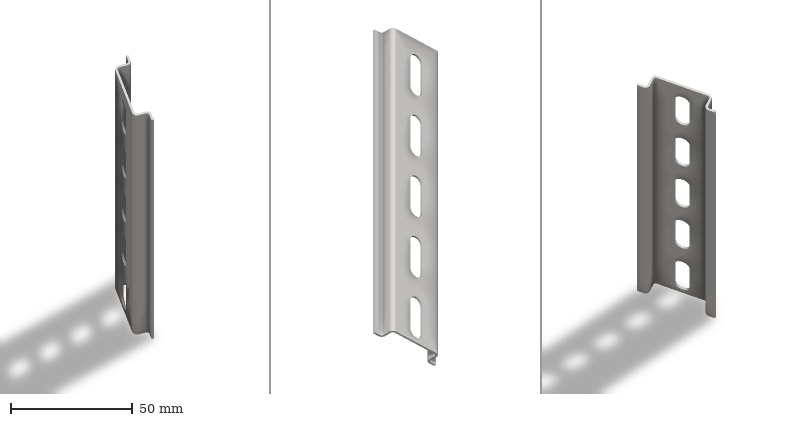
import cadquery as cq

length = 150.0
width = 35.0
depth = 7.5
thickness = 1.0

channel_width = 27.0
inner_radius = 1.0
outer_radius = inner_radius + thickness

slot_count = 5
slot_pitch = 30.0
slot_length = 20.0
slot_width = 6.8
lowest_slot_z = 12.5

half_width = width / 2
half_channel = channel_width / 2
half_inside = half_channel - thickness
front_y = -depth / 2
back_y = depth / 2


def make_rail():
    """Extrude the sharp-cornered hat section, then round its bends."""
    right_side = [
        (half_channel, front_y),
        (half_channel, back_y - thickness),
        (half_width, back_y - thickness),
        (half_width, back_y),
        (half_inside, back_y),
        (half_inside, front_y + thickness),
    ]
    left_side = [(-x, y) for x, y in reversed(right_side)]
    rail = cq.Workplane("XY").polyline(right_side + left_side).close().extrude(length)

    for side in (-1, 1):
        outside_bends = [(half_channel, front_y), (half_inside, back_y)]
        inside_bends = [(half_inside, front_y + thickness), (half_channel, back_y - thickness)]
        for bends, radius in ((outside_bends, outer_radius), (inside_bends, inner_radius)):
            for x, y in bends:
                corner = cq.selectors.NearestToPointSelector((side * x, y, length / 2))
                rail = rail.edges("|Z").edges(corner).fillet(radius)
    return rail


def make_slots():
    """Lengthwise slots that pass through the web."""
    centres = [(0, lowest_slot_z + i * slot_pitch) for i in range(slot_count)]
    return (
        cq.Workplane("XZ")
        .pushPoints(centres)
        .slot2D(slot_length, slot_width, angle=90)
        .extrude(depth, both=True)
    )


result = make_rail().cut(make_slots())